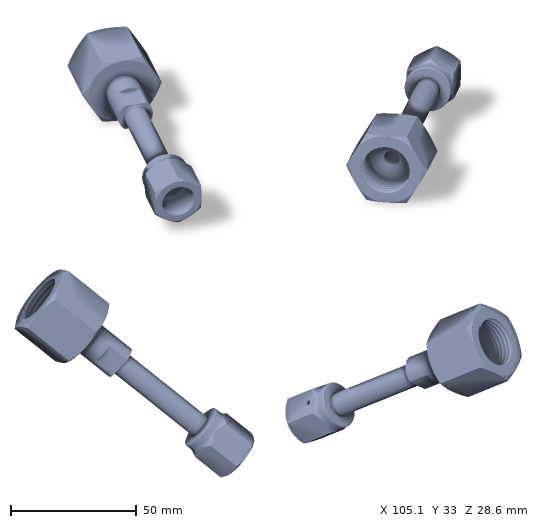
import cadquery as cq
import math

INCH = 25.4
HEX_CORNER = 2 / math.sqrt(3)

INLET_NUT_LENGTH = 24.0
NIPPLE_FACE_X = 12.0
NIPPLE_HEAD_END_X = 21.0
WRENCH_FLAT_X = 33.0
NIPPLE_BODY_END_X = 42.55
WELD_X = 61.9
OUTLET_NUT_X = 84.7
GLAND_HEAD_X = 88.5
GLAND_FACE_X = 92.0
TOTAL_LENGTH = 105.1

INLET_NUT_FLATS = 1.125 * INCH
INLET_NUT_CHAMFER_ANGLE = 30.0
THREAD_PITCH = INCH / 14
THREAD_MAJOR_RADIUS = 0.825 * INCH / 2
THREAD_MINOR_RADIUS = 9.6
THREAD_ROOT_WIDTH = 0.6
THREAD_FLANK_ANGLE = 30.0
GROOVE_OVERLAP = 0.3
THREAD_START_X = -0.15
THREAD_END_X = 15.0
THREAD_START_ANGLE = 20.0

NIPPLE_HEAD_RADIUS = 9.0
NIPPLE_BODY_RADIUS = 9 / 16 * INCH / 2
NIPPLE_FLATS = 7 / 16 * INCH
NIPPLE_FILLET = 0.9
NIPPLE_BORE_RADIUS = 3.2
TUBE_RADIUS = 3 / 8 * INCH / 2

GLAND_BORE_RADIUS = 2.35
GLAND_HEAD_RADIUS = 6.2

OUTLET_NUT_FLATS = 0.75 * INCH
COLLAR_RADIUS = 9.4
COLLAR_EDGE_FILLET = 0.5
COLLAR_LENGTH = 2.8
HEX_SHOULDER_X = OUTLET_NUT_X + 5.7
OUTLET_NUT_BORE_RADIUS = 6.75
RING_BORE_RADIUS = 5.1
OUTLET_NUT_CHAMFER = 1.2
TEST_HOLE_X = 92.75
TEST_HOLE_RADIUS = 1.0


def cylinder(start_x, end_x, radius):
    """Round bar along X."""
    return cq.Workplane("YZ", origin=(start_x, 0, 0)).circle(radius).extrude(end_x - start_x)


def hexagon(start_x, end_x, flats):
    """Hexagonal bar along X with its corners on the Y axis."""
    section = cq.Workplane("YZ", origin=(start_x, 0, 0)).polygon(6, flats * HEX_CORNER)
    return section.extrude(end_x - start_x)


def revolve_about_x(profile):
    """Solid turned from a half profile that starts and ends on the X axis."""
    return profile.close().revolve(360, (0, 0, 0), (1, 0, 0))


def make_thread_groove():
    """Left-hand helical groove that cuts the inlet nut's thread."""
    root_half = THREAD_ROOT_WIDTH / 2
    mouth_radius = THREAD_MINOR_RADIUS - GROOVE_OVERLAP
    flank_slope = math.tan(math.radians(THREAD_FLANK_ANGLE))
    mouth_half = root_half + (THREAD_MAJOR_RADIUS - mouth_radius) * flank_slope
    length = THREAD_END_X - THREAD_START_X
    helix = cq.Wire.makeHelix(THREAD_PITCH, length, THREAD_MINOR_RADIUS, lefthand=True)
    profile = (
        cq.Workplane("XZ")
        .moveTo(mouth_radius, -mouth_half)
        .lineTo(THREAD_MAJOR_RADIUS, -root_half)
        .lineTo(THREAD_MAJOR_RADIUS, root_half)
        .lineTo(mouth_radius, mouth_half)
        .close()
    )
    groove = profile.sweep(cq.Workplane(helix), isFrenet=True)
    along_x = groove.rotate((0, 0, 0), (0, 0, 1), 90).rotate((0, 0, 0), (0, 1, 0), 90)
    return along_x.rotate((0, 0, 0), (1, 0, 0), THREAD_START_ANGLE).translate((THREAD_START_X, 0, 0))


def make_inlet_nut():
    """Chamfered hexagon nut, threaded at its open end and holding the nipple's head."""
    flat_radius = INLET_NUT_FLATS / 2
    corner_radius = flat_radius * HEX_CORNER
    chamfer = (corner_radius - flat_radius) * math.tan(math.radians(INLET_NUT_CHAMFER_ANGLE))
    chamfered_blank = revolve_about_x(
        cq.Workplane("XY")
        .lineTo(0, flat_radius)
        .lineTo(chamfer, corner_radius)
        .lineTo(INLET_NUT_LENGTH - chamfer, corner_radius)
        .lineTo(INLET_NUT_LENGTH, flat_radius)
        .lineTo(INLET_NUT_LENGTH, 0)
    )
    nut = hexagon(0, INLET_NUT_LENGTH, INLET_NUT_FLATS).intersect(chamfered_blank)
    nut = nut.cut(cylinder(0, NIPPLE_HEAD_END_X, THREAD_MINOR_RADIUS))
    nut = nut.cut(cylinder(NIPPLE_HEAD_END_X, INLET_NUT_LENGTH, NIPPLE_BODY_RADIUS))
    return nut.cut(make_thread_groove())


def make_nipple():
    """Headed nipple with two wrench flats, necking down to the tube diameter."""
    fillet_end_x = NIPPLE_BODY_END_X + NIPPLE_FILLET
    diagonal = NIPPLE_FILLET * (1 - math.sqrt(0.5))
    nipple = revolve_about_x(
        cq.Workplane("XY")
        .moveTo(NIPPLE_FACE_X, 0)
        .lineTo(NIPPLE_FACE_X, NIPPLE_HEAD_RADIUS)
        .lineTo(NIPPLE_HEAD_END_X, NIPPLE_HEAD_RADIUS)
        .lineTo(NIPPLE_HEAD_END_X, NIPPLE_BODY_RADIUS)
        .lineTo(NIPPLE_BODY_END_X, NIPPLE_BODY_RADIUS)
        .lineTo(NIPPLE_BODY_END_X, TUBE_RADIUS + NIPPLE_FILLET)
        .threePointArc(
            (NIPPLE_BODY_END_X + diagonal, TUBE_RADIUS + diagonal),
            (fillet_end_x, TUBE_RADIUS),
        )
        .lineTo(WELD_X, TUBE_RADIUS)
        .lineTo(WELD_X, 0)
    )
    flats_length = fillet_end_x - WRENCH_FLAT_X
    cutter_height = NIPPLE_BODY_RADIUS
    flat_cutter = cq.Workplane("XY").box(flats_length, 2 * NIPPLE_BODY_RADIUS, cutter_height)
    flat_center_x = WRENCH_FLAT_X + flats_length / 2
    flat_center_z = (NIPPLE_FLATS + cutter_height) / 2
    for side in (-1, 1):
        nipple = nipple.cut(flat_cutter.translate((flat_center_x, 0, side * flat_center_z)))
    return nipple.cut(cylinder(NIPPLE_FACE_X, WELD_X, NIPPLE_BORE_RADIUS))


def make_gland():
    """Tube welded to the nipple, with a sealing head inside the outlet nut."""
    gland = cylinder(WELD_X, GLAND_FACE_X, TUBE_RADIUS)
    gland = gland.union(cylinder(GLAND_HEAD_X, GLAND_FACE_X, GLAND_HEAD_RADIUS))
    return gland.cut(cylinder(WELD_X, GLAND_FACE_X, GLAND_BORE_RADIUS))


def make_outlet_nut():
    """Hexagon nut with a round collar and a cross-drilled test hole."""
    flat_radius = OUTLET_NUT_FLATS / 2
    corner_radius = flat_radius * HEX_CORNER
    collar_end_x = OUTLET_NUT_X + COLLAR_LENGTH
    sweep_length = HEX_SHOULDER_X - collar_end_x
    sweep_height = corner_radius - COLLAR_RADIUS
    sweep_radius = (sweep_length**2 + sweep_height**2) / (2 * sweep_height)
    half_sweep_angle = math.asin(sweep_length / sweep_radius) / 2
    sweep_middle = (
        collar_end_x + sweep_radius * math.sin(half_sweep_angle),
        COLLAR_RADIUS + sweep_radius * (1 - math.cos(half_sweep_angle)),
    )
    turned_blank = revolve_about_x(
        cq.Workplane("XY")
        .moveTo(OUTLET_NUT_X, 0)
        .lineTo(OUTLET_NUT_X, COLLAR_RADIUS)
        .lineTo(collar_end_x, COLLAR_RADIUS)
        .threePointArc(sweep_middle, (HEX_SHOULDER_X, corner_radius))
        .lineTo(TOTAL_LENGTH - OUTLET_NUT_CHAMFER, corner_radius)
        .lineTo(TOTAL_LENGTH, flat_radius)
        .lineTo(TOTAL_LENGTH, 0)
    )
    turned_blank = turned_blank.faces("<X").edges().fillet(COLLAR_EDGE_FILLET)
    hex_bar = hexagon(OUTLET_NUT_X, TOTAL_LENGTH, OUTLET_NUT_FLATS).rotate((0, 0, 0), (1, 0, 0), 90)
    nut = hex_bar.intersect(turned_blank)
    nut = nut.cut(cylinder(OUTLET_NUT_X, TOTAL_LENGTH, OUTLET_NUT_BORE_RADIUS))
    test_hole = (
        cq.Workplane("XZ", origin=(TEST_HOLE_X, 0, 0))
        .circle(TEST_HOLE_RADIUS)
        .extrude(OUTLET_NUT_FLATS, both=True)
    )
    return nut.cut(test_hole)


def make_bearing_ring():
    """Ring that fills the collar's bore in front of the gland's head."""
    ring = cylinder(OUTLET_NUT_X, GLAND_HEAD_X, OUTLET_NUT_BORE_RADIUS)
    return ring.cut(cylinder(OUTLET_NUT_X, GLAND_HEAD_X, RING_BORE_RADIUS))


inlet_nut = make_inlet_nut()
nipple = make_nipple()
gland = make_gland()
outlet_nut = make_outlet_nut()
bearing_ring = make_bearing_ring()

result = cq.Compound.makeCompound([
    inlet_nut.val(),
    nipple.val(),
    gland.val(),
    outlet_nut.val(),
    bearing_ring.val(),
])